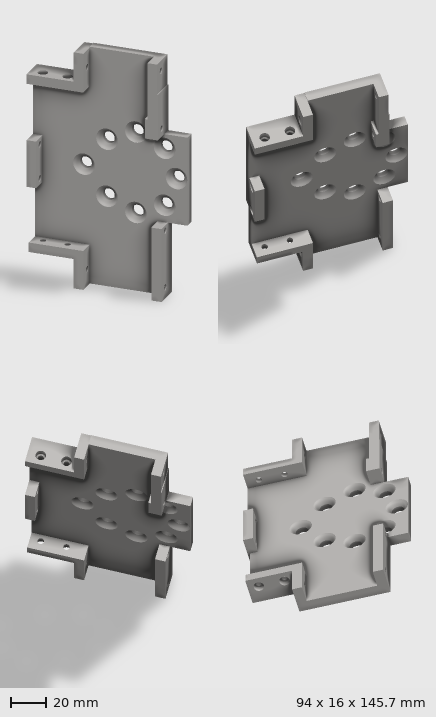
import cadquery as cq
import math

width, depth, height = 94.0, 16.0, 145.7
plate_thickness = 6.1
plate_front = depth - plate_thickness
wall = 5.8

tab_x = 28.7
lower_left_x = 1.3
upper_right_x = 79.4
middle_right_x = 79.8
lower_right_x = 82.0

ledge_bottom, ledge_top = 18.0, 127.2
block_bottom, block_top = 58.0, 86.7
tongue_bottom, tongue_top = 44.9, 99.1
tab_top = 145.3

lower_right_wall = 6.1
pad_x = 72.0
pad_top = 111.0

screw_diameter = 3.6
counterbore_diameter = 6.0
counterbore_depth = 3.6
screw_y = 5.8
ledge_screw_x = (7.7, 22.7)
tab_screw_z = (10.3, 134.6)
block_screw_z = (61.8, 82.8)
right_screw_z = (6.7, 41.5, 104.2, 139.6)

ring_x, ring_z = 62.5, height / 2
ring_radius = 24.8
ring_hole_count = 8
left_hole_x = 31.0
plate_hole_diameter = 7.1
countersink_diameter = 13.1
countersink_angle = 90


def box(x0, x1, z0, z1):
    """Block over an X-Z rectangle, over the full depth."""
    return (
        cq.Workplane("XY")
        .box(x1 - x0, depth, z1 - z0, centered=False)
        .translate((x0, 0, z0))
    )


def plate():
    outline = [
        (tab_x, 0),
        (lower_right_x, 0),
        (lower_right_x, tongue_bottom),
        (width, tongue_bottom),
        (width, tongue_top),
        (middle_right_x, tongue_top),
        (middle_right_x, ledge_top),
        (upper_right_x, ledge_top),
        (upper_right_x, height),
        (tab_x + wall, height),
        (tab_x + wall, tab_top),
        (tab_x, tab_top),
        (tab_x, ledge_top),
        (0, ledge_top),
        (0, block_bottom),
        (lower_left_x, block_bottom),
        (lower_left_x, ledge_bottom),
        (tab_x, ledge_bottom),
    ]
    return cq.Workplane("XZ", origin=(0, depth, 0)).polyline(outline).close().extrude(plate_thickness)


def walls():
    tab_inner_x = tab_x + wall
    return [
        box(0, tab_inner_x, ledge_top - wall, ledge_top),
        box(tab_x, tab_inner_x, ledge_top - wall, tab_top),
        box(lower_left_x, tab_inner_x, ledge_bottom, ledge_bottom + wall),
        box(tab_x, tab_inner_x, 0, ledge_bottom + wall),
        box(0, wall, block_bottom, block_top),
        box(lower_right_x - lower_right_wall, lower_right_x, 0, tongue_bottom),
        box(upper_right_x - wall, upper_right_x, tongue_top, height),
        box(upper_right_x - wall, middle_right_x, tongue_top, ledge_top),
        box(pad_x, middle_right_x, tongue_top, pad_top),
    ]


def cylinder(diameter, x, z, direction, length):
    return cq.Solid.makeCylinder(diameter / 2, length, cq.Vector(x, screw_y, z), cq.Vector(*direction))


def counterbored_hole(x, z, direction):
    """Cutter through one wall, starting on its outer face and running inward."""
    bore = cylinder(screw_diameter, x, z, direction, wall)
    recess = cylinder(counterbore_diameter, x, z, direction, counterbore_depth)
    return bore.fuse(recess)


def screw_holes():
    right, up, down = (1, 0, 0), (0, 0, 1), (0, 0, -1)
    cutters = []
    for x in ledge_screw_x:
        cutters.append(counterbored_hole(x, ledge_top, down))
        cutters.append(counterbored_hole(x, ledge_bottom, up))
    for z in tab_screw_z:
        cutters.append(counterbored_hole(tab_x, z, right))
    for z in block_screw_z:
        cutters.append(counterbored_hole(0, z, right))
    for z in right_screw_z:
        cutters.append(cylinder(screw_diameter, pad_x, z, right, lower_right_x - pad_x))
    return cutters


def plate_hole_centers():
    centers = [(left_hole_x, ring_z)]
    for step in range(ring_hole_count):
        angle = 2 * math.pi * step / ring_hole_count
        if step != ring_hole_count // 2:
            centers.append((ring_x + ring_radius * math.cos(angle), ring_z + ring_radius * math.sin(angle)))
    return centers


body = plate()
for piece in walls():
    body = body.union(piece)
for cutter in screw_holes():
    body = body.cut(cq.Workplane(obj=cutter))

result = (
    body.copyWorkplane(cq.Workplane("XZ", origin=(0, plate_front, 0)))
    .pushPoints(plate_hole_centers())
    .cskHole(plate_hole_diameter, countersink_diameter, countersink_angle, depth=plate_thickness)
)